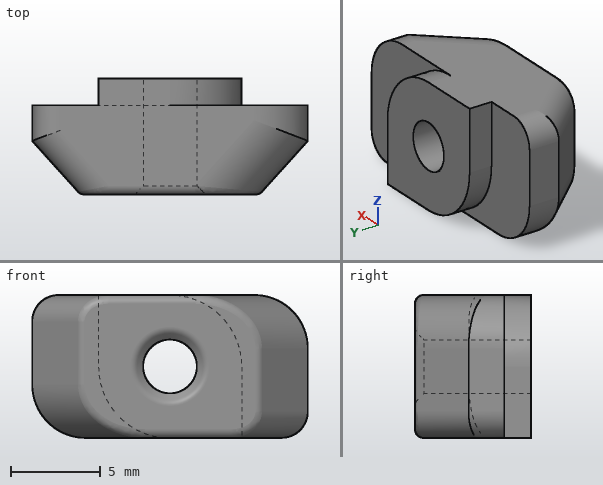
import cadquery as cq
import math

length = 15.4
height = 8.0
body_depth = 5.0
straight_depth = 2.0
slope_inset = 2.71
small_corner = 1.5
large_corner = 3.0
front_fillet = 0.5

boss_depth = 1.5
boss_width = height
boss_radius = boss_width / 2

bore_diameter = 2.99
countersink_diameter = 4.0

half_length = length / 2
half_height = height / 2


def body():
    """Body tapered at both ends, with its corners rounded along walls and slopes."""
    front_half = half_length - slope_inset
    block = (
        cq.Workplane("XY")
        .workplane(offset=-half_height)
        .polyline([
            (-half_length, 0),
            (half_length, 0),
            (half_length, -straight_depth),
            (front_half, -body_depth),
            (-front_half, -body_depth),
            (-half_length, -straight_depth),
        ])
        .close()
        .extrude(height)
    )
    for x_side in (-1, 1):
        for z_side in (-1, 1):
            radius = large_corner if x_side == z_side else small_corner
            block = block.edges(corner_edges(x_side, z_side)).fillet(radius)
    return block


def corner_edges(x_side, z_side):
    """Box around the centres of the wall edge and slope edge at one end corner."""
    margin = 0.15
    return cq.selectors.BoxSelector(
        (x_side * (half_length - slope_inset), -body_depth, z_side * (half_height - margin)),
        (x_side * (half_length + margin), -margin, z_side * (half_height + margin)),
    )


def boss():
    """Square guide boss with two diagonally opposite corners fully rounded."""
    mid_arc = boss_radius * math.sqrt(0.5)
    return (
        cq.Workplane("XZ")
        .moveTo(-boss_radius, boss_radius)
        .lineTo(0, boss_radius)
        .threePointArc((mid_arc, mid_arc), (boss_radius, 0))
        .lineTo(boss_radius, -boss_radius)
        .lineTo(0, -boss_radius)
        .threePointArc((-mid_arc, -mid_arc), (-boss_radius, 0))
        .close()
        .extrude(-boss_depth)
    )


def countersunk_hole():
    """Through bore with a 45 degree countersink at the front face."""
    bore_radius = bore_diameter / 2
    rim_radius = countersink_diameter / 2
    cone_end = -body_depth + rim_radius - bore_radius
    return (
        cq.Workplane("XY")
        .polyline([
            (0, -body_depth),
            (rim_radius, -body_depth),
            (bore_radius, cone_end),
            (bore_radius, boss_depth),
            (0, boss_depth),
        ])
        .close()
        .revolve(360, (0, 0), (0, 1))
    )


nut = body().union(boss()).cut(countersunk_hole())
result = nut.faces("<Y").edges().fillet(front_fillet)